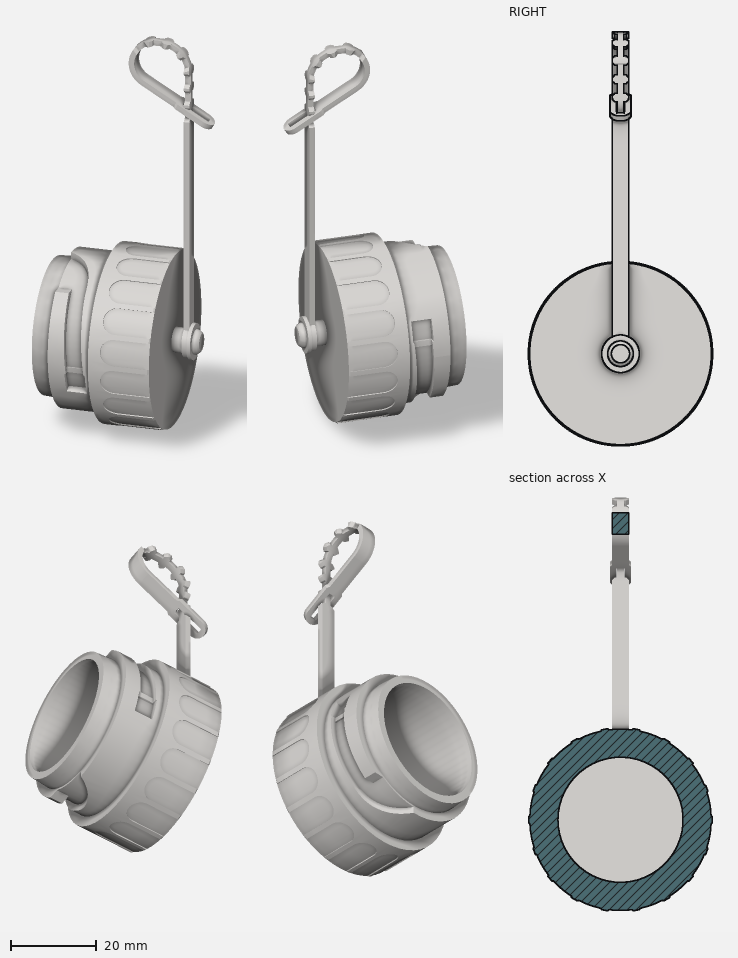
import cadquery as cq
import math


nose_front_dia = 33.0
nose_back_dia = 33.7
bore_dia = 29.1
collar_dia = 38.0
cap_dia = 43.0
collar_start = 4.6
cap_start = 15.2
cap_end = 30.0
end_wall = 2.9
cap_edge_chamfer = 0.3

grip_count = 18
grip_width = 6.3
grip_depth = 0.3
grip_start = 18.1

track_floor_dia = 34.6
ridge_dia = 35.6
ridge_top = -2.6
ridge_bottom = -4.0
tongue_height = 14.0
tongue_end_x = 7.9
mouth_right = 11.9
mouth_curve_x = -1.7
mouth_curve_y = -12.1
track_low_left = 8.9
track_low_right = 13.25
pocket_left = 8.6
pocket_right = 13.5
pocket_bottom = -9.1

pin_dia = 6.0
flange_dia = 8.8
flange_thickness = 0.9
pin_tip_dia = 4.3
pin_shoulder_dia = 5.5
pin_shoulder_length = 1.0
pin_tip_length = 1.5

strap_thickness = 1.4
strap_width = 4.0
strap_inner_x = 32.7
lug_dia = 7.9

overall_height = 96.7
overall_length = 39.7
loop_right_radius = 6.8
loop_left_radius = 5.3
loop_left_x = 25.2
arm_slope = 30.0

notch_count = 7
notch_pitch = 4.3
notch_length = 2.2
notch_corner = 0.7
neck_width = 1.5
first_notch_drop = 10.1

tip_width = 4.9
tip_length = 10.2
tip_shoulder = 0.6
tip_slot_width = 1.8
tip_slot_length = 7.3
tip_slot_margin = 1.45

cap_radius = cap_dia / 2
half_thickness = strap_thickness / 2
strap_x = strap_inner_x + half_thickness
strap_outer_x = strap_inner_x + strap_thickness
loop_top = overall_height - cap_radius - half_thickness
right_center = (strap_x - loop_right_radius, loop_top - loop_right_radius)
left_center = (loop_left_x, loop_top - loop_left_radius)
arm_start_angle = 270 - arm_slope


def on_circle(center, radius, degrees):
    """Point of a circle in the XZ plane, angle measured from +X toward +Z."""
    angle = math.radians(degrees)
    return (center[0] + radius * math.cos(angle), center[1] + radius * math.sin(angle))


def disc(diameter, start, end):
    """Cylinder around the X axis."""
    return cq.Workplane("YZ").workplane(offset=start).circle(diameter / 2).extrude(end - start)


def make_body():
    profile = [
        (0, 0),
        (0, nose_front_dia / 2),
        (collar_start, nose_back_dia / 2),
        (collar_start, collar_dia / 2),
        (cap_start, collar_dia / 2),
        (cap_start, cap_radius),
        (cap_end - cap_edge_chamfer, cap_radius),
        (cap_end, cap_radius - cap_edge_chamfer),
        (cap_end, 0),
    ]
    solid = cq.Workplane("XY").polyline(profile).close().revolve(360, (0, 0, 0), (1, 0, 0))
    return solid.cut(disc(bore_dia, 0, cap_end - end_wall))


def cut_grips(body):
    """Shallow round-ended recesses, open at the back edge of the cap."""
    floor = disc(cap_dia - 2 * grip_depth, cap_start, cap_end)
    round_x = grip_start + grip_width / 2
    recess = (
        cq.Workplane("XY")
        .moveTo(cap_end, -grip_width / 2)
        .lineTo(round_x, -grip_width / 2)
        .threePointArc((grip_start, 0), (round_x, grip_width / 2))
        .lineTo(cap_end, grip_width / 2)
        .close()
        .extrude(cap_dia)
        .cut(floor)
    )
    for i in range(grip_count):
        body = body.cut(recess.rotate((0, 0, 0), (1, 0, 0), i * 360 / grip_count))
    return body


def cut_tracks(body):
    """Two bayonet tracks, half a turn apart, each ending in a pocket behind a ridge."""
    reach = collar_dia
    curve_radius = mouth_right - mouth_curve_x
    curve_start_y = mouth_curve_y + math.sqrt(curve_radius**2 - (collar_start - mouth_curve_x) ** 2)
    curve_mid = (
        mouth_curve_x + curve_radius * math.cos(math.pi / 6),
        mouth_curve_y + curve_radius * math.sin(math.pi / 6),
    )
    mouth = (
        cq.Workplane("XY")
        .workplane(offset=tongue_height)
        .moveTo(collar_start, curve_start_y)
        .threePointArc(curve_mid, (mouth_right, mouth_curve_y))
        .lineTo(mouth_right, -reach)
        .lineTo(collar_start, -reach)
        .close()
        .extrude(reach)
    )
    run = (
        cq.Workplane("XZ")
        .moveTo(tongue_end_x, tongue_height)
        .lineTo(mouth_right, tongue_height)
        .lineTo(track_low_right, ridge_bottom)
        .lineTo(track_low_left, ridge_bottom)
        .close()
        .extrude(reach)
    )
    wall_angle = math.asin(pocket_bottom / (collar_dia / 2))
    pocket = (
        cq.Workplane("YZ")
        .workplane(offset=pocket_left)
        .moveTo(-ridge_bottom / math.tan(wall_angle), ridge_bottom)
        .lineTo(-reach, ridge_bottom)
        .lineTo(-reach, reach * math.tan(wall_angle))
        .close()
        .extrude(pocket_right - pocket_left)
    )
    ridge = (
        cq.Workplane("XZ")
        .moveTo(0, ridge_bottom)
        .lineTo(cap_start, ridge_bottom)
        .lineTo(cap_start, ridge_top)
        .lineTo(0, ridge_top)
        .close()
        .extrude(reach)
        .intersect(disc(ridge_dia, 0, cap_start))
    )
    floor = disc(track_floor_dia, 0, cap_start)
    track = mouth.union(run).union(pocket).cut(floor).cut(ridge)
    return body.cut(track).cut(track.rotate((0, 0, 0), (1, 0, 0), 180))


def make_pin():
    flange_end = strap_outer_x + flange_thickness
    tip_end = flange_end + pin_tip_length
    pin_root = cap_end - end_wall / 2
    dome_mid = (flange_end + pin_shoulder_length, pin_shoulder_dia / 2)
    return (
        cq.Workplane("XY")
        .moveTo(pin_root, 0)
        .lineTo(pin_root, pin_dia / 2)
        .lineTo(strap_outer_x, pin_dia / 2)
        .lineTo(strap_outer_x, flange_dia / 2)
        .lineTo(flange_end, flange_dia / 2)
        .lineTo(flange_end, pin_dia / 2)
        .threePointArc(dome_mid, (tip_end, pin_tip_dia / 2))
        .lineTo(tip_end, 0)
        .close()
        .revolve(360, (0, 0, 0), (1, 0, 0))
    )


def make_strap():
    """Straight strap with its lug, and the loop up to the start of the arm."""
    right_out = loop_right_radius + half_thickness
    right_in = loop_right_radius - half_thickness
    left_out = loop_left_radius + half_thickness
    left_in = loop_left_radius - half_thickness
    left_mid_angle = (90 + arm_start_angle) / 2
    ribbon = (
        cq.Workplane("XZ")
        .moveTo(strap_outer_x, 0)
        .lineTo(strap_outer_x, right_center[1])
        .threePointArc(on_circle(right_center, right_out, 45), on_circle(right_center, right_out, 90))
        .lineTo(*on_circle(left_center, left_out, 90))
        .threePointArc(
            on_circle(left_center, left_out, left_mid_angle),
            on_circle(left_center, left_out, arm_start_angle),
        )
        .lineTo(*on_circle(left_center, left_in, arm_start_angle))
        .threePointArc(
            on_circle(left_center, left_in, left_mid_angle),
            on_circle(left_center, left_in, 90),
        )
        .lineTo(*on_circle(right_center, right_in, 90))
        .threePointArc(on_circle(right_center, right_in, 45), on_circle(right_center, right_in, 0))
        .lineTo(strap_inner_x, 0)
        .close()
        .extrude(strap_width / 2, both=True)
    )
    return ribbon.union(disc(lug_dia, strap_inner_x, strap_outer_x))


def loop_station(distance):
    """Mid-line point and turn angle at a distance past the start of the loop."""
    quarter = loop_right_radius * math.pi / 2
    flat = right_center[0] - left_center[0]
    if distance < 0:
        return (strap_x, right_center[1] + distance), 0
    if distance < quarter:
        turn = math.degrees(distance / loop_right_radius)
        return on_circle(right_center, loop_right_radius, turn), turn
    if distance < quarter + flat:
        return (right_center[0] - (distance - quarter), loop_top), 90
    turn = 90 + math.degrees((distance - quarter - flat) / loop_left_radius)
    return on_circle(left_center, loop_left_radius, turn), turn


def cut_notches(strap):
    """Pairs of edge notches that leave a narrow neck between full-width teeth."""
    edge = strap_width / 2
    half = notch_length / 2
    outline = [
        (neck_width / 2, -half),
        (edge - notch_corner, -half),
        (edge, -half - notch_corner),
        (edge, half + notch_corner),
        (edge - notch_corner, half),
        (neck_width / 2, half),
    ]
    one_side = cq.Workplane("YZ").polyline(outline).close().extrude(strap_thickness, both=True)
    notch_pair = one_side.union(one_side.mirror("XZ"))
    for i in range(notch_count):
        (x, z), turn = loop_station(i * notch_pitch - first_notch_drop)
        cutter = notch_pair.rotate((0, 0, 0), (0, 1, 0), -turn).translate((x, 0, z))
        strap = strap.cut(cutter)
    return strap


def make_arm():
    """Sloping arm with a wider, slotted, round-ended tip; drawn along X, then tilted."""
    start = on_circle(left_center, loop_left_radius, arm_start_angle)
    slope = math.radians(arm_slope)
    end_x = overall_length - half_thickness * math.sin(slope)
    arm_length = (end_x - start[0]) / math.cos(slope)
    tip_start = arm_length - tip_length
    tip_round_x = arm_length - tip_width / 2
    bar = (
        cq.Workplane("XY")
        .box(tip_start + tip_shoulder, strap_width, strap_thickness, centered=(False, True, True))
    )
    tip = (
        cq.Workplane("XY")
        .moveTo(tip_start, -strap_width / 2)
        .lineTo(tip_start + tip_shoulder, -tip_width / 2)
        .lineTo(tip_round_x, -tip_width / 2)
        .threePointArc((arm_length, 0), (tip_round_x, tip_width / 2))
        .lineTo(tip_start + tip_shoulder, tip_width / 2)
        .lineTo(tip_start, strap_width / 2)
        .close()
        .extrude(half_thickness, both=True)
    )
    slot_center = arm_length - tip_slot_margin - tip_slot_length / 2
    slot = (
        cq.Workplane("XY")
        .center(slot_center, 0)
        .rect(tip_slot_length, tip_slot_width)
        .extrude(strap_thickness, both=True)
    )
    arm = bar.union(tip).cut(slot)
    return arm.rotate((0, 0, 0), (0, 1, 0), arm_slope).translate((start[0], 0, start[1]))


body = cut_tracks(cut_grips(make_body()))
strap = cut_notches(make_strap()).union(make_arm())
result = body.union(make_pin()).union(strap)